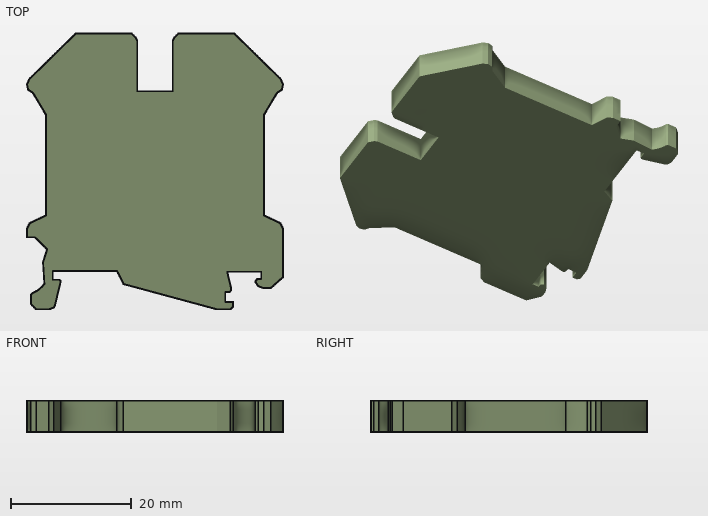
import cadquery as cq


width = 42.5
height = 45.8
thickness = 5.2
half_width = width / 2

waist_half = 18.1
waist_top = 32.3
waist_bottom = 15.6
top_half = 13.15
nose_start = (20.9, 38.2)
nose_tip = (half_width, 37.33)
nose_end = (21.05, 36.45)
shoulder_under = (20.25, 35.9)
hip_corner = (20.8, 14.35)
hip_side_y = 13.4

slot_half = 2.95
slot_floor = 36.25
slot_lip = 0.95
slot_lip_depth = 1.25
slot_bevel = 0.75

left_ledge_y = 11.95
left_ledge_x = -19.92
flank_notch = (-17.9, 10.0)
neck_top = (-18.6, 7.85)
neck_bottom = (-18.35, 4.25)
heel_arc_middle = (-19.15, 3.45)
heel_arc_end = (-20.4, 2.7)
foot_left = -20.6
foot_left_top = 2.45
foot_chamfer = 0.9
foot_bottom_right = -17.6
toe_low = (-16.75, 0.3)
toe_high = (-16.6, 0.7)
hook_tip_x = -15.65
hook_tip_y = 4.5
hook_top = 4.95
hook_corner = 0.2
left_recess_x = -16.95
left_recess_top = 6.35

keel_start_x = -6.3
keel_bend = (-5.35, 4.55)
keel_slope_top = (-5.25, 4.2)
keel_slope_end_x = 10.3

catch_tip_x = 12.95
catch_chamfer = 0.45
catch_top = 1.3
catch_inner_x = 11.7
tooth_bottom = 2.9
tooth_tip_x = 12.65
tooth_chamfer = 0.27
tooth_side_y = 3.53

right_recess_top = 6.25
right_recess_left = 12.0
right_recess_right = 17.6
claw_top = 5.1
claw_top_x = 16.95
claw_tip = (16.63, 4.6)
claw_under = (17.15, 3.85)
claw_bottom = 3.53
claw_bottom_left = 18.0
claw_bottom_right = 19.2
claw_bevel_end_y = 5.35


def mirrored(point):
    """Reflect a point across the middle of the housing."""
    return (-point[0], point[1])


def add_lines(outline, points):
    """Continue the outline with straight edges through the points."""
    for point in points:
        outline = outline.lineTo(*point)
    return outline


def add_right_side(outline):
    """Right hip, waist and shoulder, upwards to the flat top."""
    return add_lines(outline, [
        (half_width, hip_side_y),
        hip_corner,
        (waist_half, waist_bottom),
        (waist_half, waist_top),
        shoulder_under,
        nose_end,
        nose_tip,
        nose_start,
        (top_half, height),
    ])


def add_slot(outline):
    """Open slot in the flat top, from its right lip to its left lip."""
    right_edge = [
        (slot_half + slot_lip, height),
        (slot_half + slot_lip - slot_bevel, height - slot_bevel),
        (slot_half, height - slot_lip_depth),
        (slot_half, slot_floor),
    ]
    left_edge = [mirrored(point) for point in reversed(right_edge)]
    return add_lines(outline, right_edge + left_edge)


def add_left_side(outline):
    """Left shoulder, waist and hip, downwards from the flat top."""
    return add_lines(outline, [
        (-top_half, height),
        mirrored(nose_start),
        mirrored(nose_tip),
        mirrored(nose_end),
        mirrored(shoulder_under),
        (-waist_half, waist_top),
        (-waist_half, waist_bottom),
        mirrored(hip_corner),
        (-half_width, hip_side_y),
    ])


def add_left_foot(outline):
    """Left ledge, slim neck and the hook that grips the rail."""
    outline = add_lines(outline, [
        (-half_width, left_ledge_y),
        (left_ledge_x, left_ledge_y),
        flank_notch,
        neck_top,
        neck_bottom,
    ])
    outline = outline.threePointArc(heel_arc_middle, heel_arc_end)
    return add_lines(outline, [
        (foot_left, foot_left_top),
        (foot_left, foot_chamfer),
        (foot_left + foot_chamfer, 0),
        (foot_bottom_right, 0),
        toe_low,
        toe_high,
        (hook_tip_x, hook_tip_y),
        (hook_tip_x, hook_top - hook_corner),
        (hook_tip_x - hook_corner, hook_top),
        (left_recess_x, hook_top),
        (left_recess_x, left_recess_top),
    ])


def add_keel(outline):
    """Sloping lower edge, ending in the catch and the tooth above it."""
    return add_lines(outline, [
        (keel_start_x, left_recess_top),
        keel_bend,
        keel_slope_top,
        (keel_slope_end_x, 0),
        (catch_tip_x - catch_chamfer, 0),
        (catch_tip_x, catch_chamfer),
        (catch_tip_x, catch_top),
        (catch_inner_x, catch_top),
        (catch_inner_x, tooth_bottom),
        (tooth_tip_x - tooth_chamfer, tooth_bottom),
        (tooth_tip_x, tooth_bottom + tooth_chamfer),
        (tooth_tip_x, tooth_side_y),
    ])


def add_claw(outline):
    """Right rail recess and the claw that closes it from below."""
    return add_lines(outline, [
        (right_recess_left, right_recess_top),
        (right_recess_right, right_recess_top),
        (right_recess_right, claw_top),
        (claw_top_x, claw_top),
        claw_tip,
        claw_under,
        (claw_bottom_left, claw_bottom),
        (claw_bottom_right, claw_bottom),
    ])


profile = cq.Workplane("XY").moveTo(half_width, claw_bevel_end_y)
for add_section in (add_right_side, add_slot, add_left_side, add_left_foot, add_keel, add_claw):
    profile = add_section(profile)

result = profile.close().extrude(thickness)